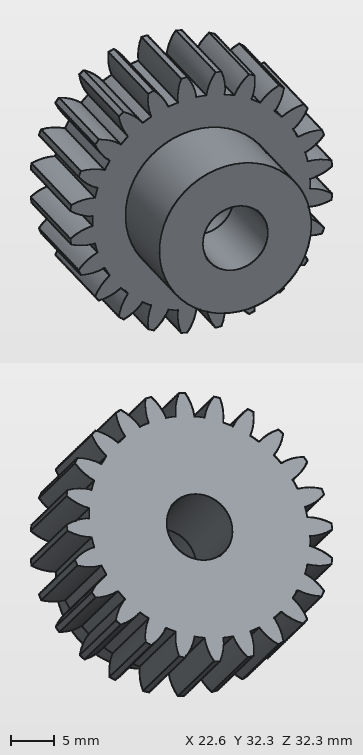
import cadquery as cq
import math

overall_height = 32.3
overall_length = 22.55

gear_width = 12.18
tooth_count = 24
addendum_factor = 1.0
dedendum_factor = 1.25

tip_thickness = 0.75
pitch_thickness = 1.8
root_thickness = 2.3

hub_length = overall_length - gear_width
hub_diameter = 18.75
bore_diameter = 8.0

tooth_pitch = 2 * math.pi / tooth_count
half_pitch = tooth_pitch / 2
tip_corner_distance = (
    overall_height / 2 - tip_thickness / 2 * math.sin(half_pitch)
) / math.cos(half_pitch)
tip_radius = math.hypot(tip_corner_distance, tip_thickness / 2)

module = tip_radius / (tooth_count / 2 + addendum_factor)
pitch_radius = module * tooth_count / 2
root_radius = pitch_radius - dedendum_factor * module


def cross_section(x):
    """Workplane across the gear axis at x, with its local x direction along Z."""
    return cq.Workplane(cq.Plane(origin=(x, 0, 0), xDir=(0, 0, 1), normal=(1, 0, 0)))


def polar(radius, angle):
    return (radius * math.cos(angle), radius * math.sin(angle))


def half_angle(thickness, radius):
    """Half of the angle that a tooth of this thickness spans at this radius."""
    return math.asin(thickness / 2 / radius)


def gear_outline():
    """Closed outline of all teeth, with each flank a single arc from root to tip."""
    tip_angle = half_angle(tip_thickness, tip_radius)
    pitch_angle = half_angle(pitch_thickness, pitch_radius)
    root_angle = half_angle(root_thickness, root_radius)

    outline = cross_section(0).moveTo(*polar(root_radius, half_pitch - root_angle))
    for tooth in range(tooth_count):
        centre = half_pitch + tooth * tooth_pitch
        next_tooth_start = centre + tooth_pitch - root_angle
        outline = (
            outline
            .threePointArc(
                polar(pitch_radius, centre - pitch_angle), polar(tip_radius, centre - tip_angle)
            )
            .threePointArc(polar(tip_radius, centre), polar(tip_radius, centre + tip_angle))
            .threePointArc(
                polar(pitch_radius, centre + pitch_angle), polar(root_radius, centre + root_angle)
            )
            .threePointArc(
                polar(root_radius, centre + half_pitch), polar(root_radius, next_tooth_start)
            )
        )
    return outline.close()


def make_gear():
    """Toothed wheel with its front face at x = 0 and the bore through it."""
    blank = gear_outline().extrude(gear_width)
    bore = cross_section(0).circle(bore_diameter / 2).extrude(gear_width)
    return blank.cut(bore)


def make_hub():
    """Plain bored collar butted against the back face of the gear."""
    return (
        cross_section(gear_width)
        .circle(hub_diameter / 2)
        .circle(bore_diameter / 2)
        .extrude(hub_length)
    )


gear = make_gear()
hub = make_hub()

result = cq.Compound.makeCompound([gear.val(), hub.val()])